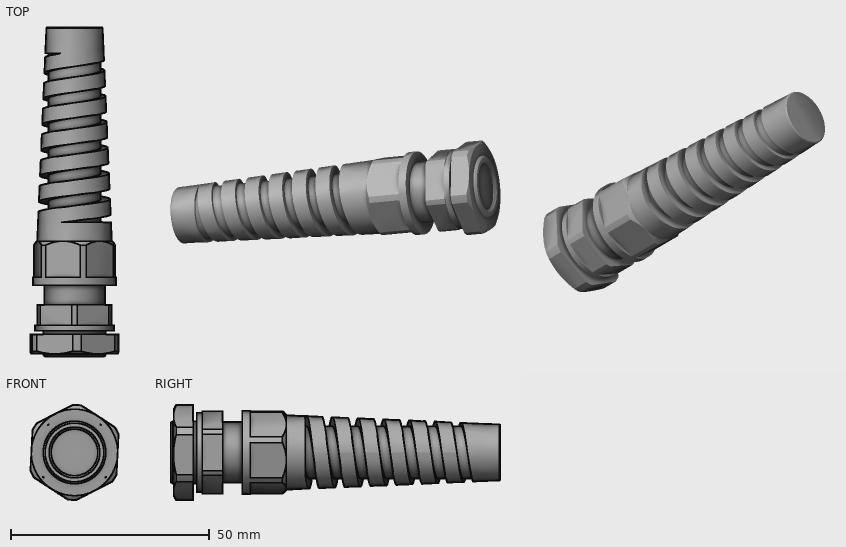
import cadquery as cq
import math


total_length = 83.0
locknut_front = 0.75
locknut_back = 5.65
washer_start = 6.55
body_hex_start = 8.0
body_hex_end = 13.1
dome_collar_start = 18.0
dome_hex_start = 20.0
dome_end = 29.1
groove_start = 33.9
groove_end = 76.4

entry_thread_dia = 15.8
bore_dia = 11.7
bore_mouth_dia = 12.8
washer_dia = 20.0
body_neck_dia = 15.35
dome_dia = 21.0
spiral_core_dia = 13.2
spiral_base_dia = 18.8
spiral_tip_dia = 14.2

locknut_flats = 21.75
locknut_corner_dia = 24.0
locknut_turn = 3.0
body_flats = 18.7
body_corner_dia = 20.8
dome_flats = 18.9
dome_turn = 12.0

locknut_chamfer_height = 0.7
dome_chamfer_height = 1.0
entry_chamfer = 0.5
bore_chamfer_height = 0.5
tip_chamfer = 0.25
bore_depth = 0.75

groove_pitch = 6.5
groove_width = 2.65
groove_clearance = 0.8
groove_reference = 50.7


def cylinder(diameter, start, end):
    """A round bar along Y from start to end."""
    return cone(diameter, diameter, start, end)


def cone(start_dia, end_dia, start, end):
    """A round bar along Y that tapers from start_dia to end_dia."""
    outline = [(0, start), (start_dia / 2, start), (end_dia / 2, end), (0, end)]
    return cq.Workplane("XY").polyline(outline).close().revolve(360, (0, 0, 0), (0, 1, 0))


def hexagon(across_flats, start, end, turn):
    """A hexagonal bar along Y with two flats facing +X and -X, then turned about Y."""
    half_sector = 180 / 6
    across_corners = across_flats / math.cos(math.radians(half_sector))
    bar = cq.Workplane("XZ", origin=(0, start, 0)).polygon(6, across_corners).extrude(start - end)
    return bar.rotate((0, 0, 0), (0, 1, 0), half_sector + turn)


def entry_thread():
    """The entry thread with its chamfered end and shallow, chamfered recess."""
    thread = cylinder(entry_thread_dia, 0, washer_start).faces("<Y").edges().chamfer(entry_chamfer)
    mouth = cone(bore_mouth_dia, bore_dia, 0, bore_chamfer_height)
    return thread.cut(mouth).cut(cylinder(bore_dia, 0, bore_depth))


def locknut():
    """The hexagonal locknut, its front corners turned down to the flats."""
    chamfer_end = locknut_front + locknut_chamfer_height
    blank = cone(locknut_flats, locknut_corner_dia, locknut_front, chamfer_end)
    blank = blank.union(cylinder(locknut_corner_dia, chamfer_end, locknut_back))
    nut = blank.intersect(hexagon(locknut_flats, locknut_front, locknut_back, locknut_turn))
    return nut.cut(cylinder(entry_thread_dia, 0, locknut_back))


def body():
    """The sealing washer, the body hexagon and the neck behind it."""
    washer = cylinder(washer_dia, washer_start, body_hex_start)
    blank = cylinder(body_corner_dia, body_hex_start, body_hex_end)
    body_hex = blank.intersect(hexagon(body_flats, body_hex_start, body_hex_end, 0))
    neck = cylinder(body_neck_dia, body_hex_end, dome_collar_start)
    return washer.union(body_hex).union(neck)


def dome_nut():
    """The dome nut: a round collar, six flats and a conical end."""
    chamfer_start = dome_end - dome_chamfer_height
    collar = cylinder(dome_dia, dome_collar_start, dome_hex_start)
    blank = cylinder(dome_dia, dome_hex_start, chamfer_start)
    blank = blank.union(cone(dome_dia, dome_flats, chamfer_start, dome_end))
    return collar.union(blank.intersect(hexagon(dome_flats, dome_hex_start, dome_end, dome_turn)))


def spiral_groove():
    """The helical groove, stopped square at the solid collars at both ends."""
    core_radius = spiral_core_dia / 2
    outer_radius = spiral_base_dia / 2 + groove_clearance
    turns_before = math.ceil((groove_reference - groove_start) / groove_pitch) + 1
    turns_after = math.ceil((groove_end - groove_reference) / groove_pitch) + 1
    height = (turns_before + turns_after) * groove_pitch
    first_turn = groove_reference - turns_before * groove_pitch

    path = cq.Wire.makeHelix(groove_pitch, height, core_radius)
    profile = (
        cq.Workplane("XZ")
        .center((core_radius + outer_radius) / 2, 0)
        .rect(outer_radius - core_radius, groove_width)
    )
    groove = profile.sweep(cq.Workplane(path), isFrenet=True)
    groove = groove.rotate((0, 0, 0), (0, 0, 1), 180)
    groove = groove.rotate((0, 0, 0), (1, 0, 0), -90).translate((0, first_turn, 0))
    return groove.intersect(cylinder(2 * (outer_radius + groove_clearance), groove_start, groove_end))


def spiral():
    """The tapered bend protector with its helical groove."""
    taper = cone(spiral_base_dia, spiral_tip_dia, dome_end, total_length)
    taper = taper.faces(">Y").edges().chamfer(tip_chamfer)
    return taper.cut(spiral_groove())


result = entry_thread().union(locknut()).union(body()).union(dome_nut()).union(spiral())